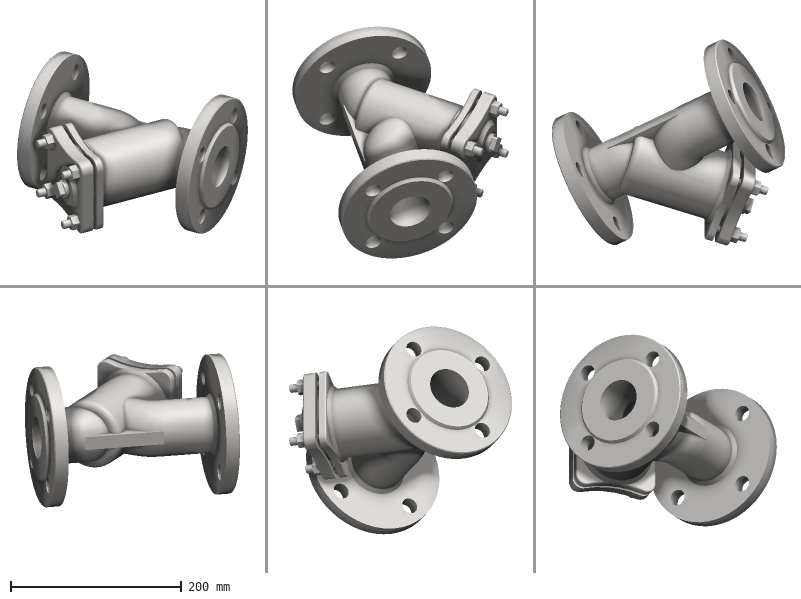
import cadquery as cq
import math

face_to_face = 230.0
branch_angle = 50.0

pipe_diameter = 66.0
pipe_radius = pipe_diameter / 2
bore_diameter = 50.0
bend_radius = 33.1
inlet_bend_x = -30.8
outlet_bend_x = 64.2

flange_diameter = 165.0
flange_thickness = 16.5
flange_edge_chamfer = 1.2
raised_face_height = 3.7
raised_face_diameter = 99.4
raised_face_base_diameter = 104.9
hub_chamfer = 4.4
flange_hole_diameter = 19.0
flange_hole_circle = 125.0
flange_hole_count = 4

branch_diameter = 82.0
branch_axis_x = 22.0
branch_end = -51.8
branch_end_fillet = 8.0
chamber_start = -27.1
web_thickness = 16.0

bonnet_width = 98.7
bonnet_corner_radius = 11.5
bonnet_waist = 88.3
bonnet_edge_fillet = 2.0
housing_flange_start = 65.5
housing_flange_thickness = 8.7
gasket_thickness = 4.8
cover_thickness = 15.0
neck_height = 4.5
housing_flange_face = housing_flange_start + housing_flange_thickness
cover_start = housing_flange_face + gasket_thickness
cover_face = cover_start + cover_thickness

boss_offset = 13.8
boss_base_diameter = 51.5
boss_height = 4.8
plug_collar_diameter = 22.0
plug_collar_height = 5.3
plug_square = 16.5
plug_corner_diameter = 21.6
plug_head_height = 6.5

stud_diameter = 10.0
stud_tip_diameter = 8.3
stud_spacing = 70.5
stud_length_beyond_nut = 10.0
nut_across_flats = 16.0
nut_thickness = 9.2
nut_chamfer_angle = 30.0
nut_twist = 6.0

angle = math.radians(branch_angle)
branch_direction = cq.Vector(-math.cos(angle), -math.sin(angle), 0)
branch_sideways = cq.Vector(math.sin(angle), -math.cos(angle), 0)
branch_origin = cq.Vector(branch_axis_x, -pipe_radius, 0)


def branch_plane(distance):
    """Workplane across the branch axis: local x lies in the XY plane, local y is +Z."""
    return cq.Workplane(
        cq.Plane(branch_origin + branch_direction * distance, branch_sideways, branch_direction)
    )


def branch_face(outer):
    """Selector for the end face of a branch feature: the outer one or the inner one."""
    return cq.selectors.DirectionMinMaxSelector(branch_direction, outer)


def branch_cylinder(diameter, start, end):
    return branch_plane(start).circle(diameter / 2).extrude(end - start)


def across_pipe(x):
    return cq.Workplane("YZ", origin=(x, 0, 0))


def bend(diameter, x, turn, direction):
    """Pipe bend that leaves the straight pipe at x and turns towards -Y."""
    return across_pipe(x).circle(diameter / 2).revolve(
        turn, (-bend_radius, 0), (-bend_radius, -direction)
    )


def inlet_run(diameter):
    """Straight inlet, bend and cross run that meets the branch axis at a right angle."""
    straight = across_pipe(-face_to_face / 2).circle(diameter / 2).extrude(
        face_to_face / 2 + inlet_bend_x
    )
    curve = bend(diameter, inlet_bend_x, 90 - branch_angle, 1)
    cross_start = cq.Vector(inlet_bend_x, -bend_radius, 0) - branch_direction * bend_radius
    cross_length = (branch_axis_x - inlet_bend_x) * math.sin(angle)
    cross = cq.Workplane(cq.Plane(cross_start, (0, 0, 1), branch_sideways))
    return straight.union(curve).union(cross.circle(diameter / 2).extrude(cross_length))


def outlet_run(diameter):
    """Straight outlet and the bend that turns it into line with the branch."""
    straight = across_pipe(outlet_bend_x).circle(diameter / 2).extrude(
        face_to_face / 2 - outlet_bend_x
    )
    return straight.union(bend(diameter, outlet_bend_x, branch_angle, -1))


def end_flange(side):
    """Flange with hub and raised face; side is -1 for the inlet end and 1 for the outlet end."""
    face = face_to_face / 2
    back = face - raised_face_height - flange_thickness
    flange_radius = flange_diameter / 2
    profile = [
        (back - hub_chamfer, 0),
        (back - hub_chamfer, pipe_radius),
        (back, pipe_radius + hub_chamfer),
        (back, flange_radius),
        (face - raised_face_height - flange_edge_chamfer, flange_radius),
        (face - raised_face_height, flange_radius - flange_edge_chamfer),
        (face - raised_face_height, raised_face_base_diameter / 2),
        (face, raised_face_diameter / 2),
        (face, 0),
    ]
    flange = cq.Workplane("XY").polyline(profile).close().revolve(360, (0, 0), (1, 0))
    holes = (
        across_pipe(0)
        .polarArray(flange_hole_circle / 2, 45, 360, flange_hole_count)
        .circle(flange_hole_diameter / 2)
        .extrude(face)
    )
    flange = flange.cut(holes)
    return flange if side > 0 else flange.mirror("YZ")


def branch_tube():
    tube = branch_cylinder(branch_diameter, branch_end, housing_flange_face)
    return tube.faces(branch_face(False)).edges().fillet(branch_end_fillet)


def web():
    """Flat web that fills the corner between the two bends, level with the side of the pipe."""
    corners = [
        (inlet_bend_x, pipe_radius),
        (outlet_bend_x, pipe_radius),
        (outlet_bend_x, 0),
        (inlet_bend_x, 0),
    ]
    return cq.Workplane("XY").polyline(corners).close().extrude(web_thickness / 2, both=True)


def bonnet_plate(start, thickness):
    """Square plate with round corners; its upper and lower sides are waisted by tangent arcs."""
    half = bonnet_width / 2
    corner = bonnet_corner_radius
    centre = half - corner
    waist = bonnet_waist / 2
    rise = waist - centre
    waist_radius = (centre**2 + rise**2 - corner**2) / (2 * (corner - rise))
    reach = centre * waist_radius / (waist_radius + corner)
    height = centre + (waist + waist_radius - centre) * corner / (waist_radius + corner)
    bulge = corner * math.sqrt(0.5)
    return (
        branch_plane(start)
        .moveTo(half, -centre)
        .lineTo(half, centre)
        .threePointArc((centre + bulge, centre + bulge), (reach, height))
        .threePointArc((0, waist), (-reach, height))
        .threePointArc((-centre - bulge, centre + bulge), (-half, centre))
        .lineTo(-half, -centre)
        .threePointArc((-centre - bulge, -centre - bulge), (-reach, -height))
        .threePointArc((0, -waist), (reach, -height))
        .threePointArc((centre + bulge, -centre - bulge), (half, -centre))
        .close()
        .extrude(thickness)
    )


def housing_flange():
    plate = bonnet_plate(housing_flange_start, housing_flange_thickness)
    plate = plate.faces(branch_face(False)).edges().fillet(bonnet_edge_fillet)
    neck = cq.Workplane(
        cq.Solid.makeCone(
            branch_diameter / 2,
            branch_diameter / 2 + neck_height,
            neck_height,
            branch_origin + branch_direction * (housing_flange_start - neck_height),
            branch_direction,
        )
    )
    neck = neck.intersect(bonnet_plate(housing_flange_start - neck_height, neck_height))
    return plate.union(neck)


def cover():
    plate = bonnet_plate(cover_start, cover_thickness)
    plate = plate.faces(branch_face(True)).edges().fillet(bonnet_edge_fillet)
    spigot = branch_cylinder(branch_diameter, housing_flange_face, cover_start)
    boss_plane = branch_plane(cover_face).center(boss_offset, 0)
    boss = boss_plane.circle(boss_base_diameter / 2).extrude(boss_height, taper=45)
    return plate.union(spigot).union(boss)


def plug():
    collar_start = cover_face + boss_height
    head_start = collar_start + plug_collar_height
    collar = (
        branch_plane(collar_start)
        .center(boss_offset, 0)
        .circle(plug_collar_diameter / 2)
        .extrude(plug_collar_height)
    )
    head_plane = branch_plane(head_start).center(boss_offset, 0)
    head = head_plane.transformed(rotate=(0, 0, 45)).rect(plug_square, plug_square)
    head = head.extrude(plug_head_height).intersect(
        head_plane.circle(plug_corner_diameter / 2).extrude(plug_head_height)
    )
    return collar.union(head)


def stud_with_nut(sideways, height):
    nut_end = cover_face + nut_thickness
    tip_chamfer = (stud_diameter - stud_tip_diameter) / 2
    stud = (
        branch_plane(housing_flange_start)
        .center(sideways, height)
        .circle(stud_diameter / 2)
        .extrude(nut_end + stud_length_beyond_nut - housing_flange_start)
        .faces(branch_face(True))
        .chamfer(tip_chamfer)
    )
    radial = math.degrees(math.atan2(height, sideways))
    nut_plane = branch_plane(cover_face).center(sideways, height)
    nut = (
        nut_plane.transformed(rotate=(0, 0, radial + nut_twist - 30))
        .polygon(6, nut_across_flats, circumscribed=True)
        .extrude(nut_thickness)
    )
    corner_radius = nut_across_flats / math.sqrt(3)
    corner_reach = corner_radius - nut_across_flats / 2
    rounding = (
        nut_plane.circle(corner_radius)
        .extrude(nut_thickness)
        .faces(branch_face(True))
        .chamfer(corner_reach * math.tan(math.radians(nut_chamfer_angle)), corner_reach)
    )
    return stud.union(nut.intersect(rounding))


def flow_passage():
    chamber = branch_cylinder(bore_diameter, chamber_start, housing_flange_face)
    return inlet_run(bore_diameter).union(outlet_run(bore_diameter)).union(chamber)


half_spacing = stud_spacing / 2
studs = [
    stud_with_nut(sideways, height)
    for sideways in (-half_spacing, half_spacing)
    for height in (-half_spacing, half_spacing)
]

valve = inlet_run(pipe_diameter).union(outlet_run(pipe_diameter)).union(branch_tube()).union(web())
valve = valve.union(end_flange(-1)).union(end_flange(1)).union(housing_flange())
valve = valve.cut(flow_passage()).union(cover()).union(plug())
for stud in studs:
    valve = valve.cut(stud)

result = cq.Compound.makeCompound([valve.val(), *[stud.val() for stud in studs]])